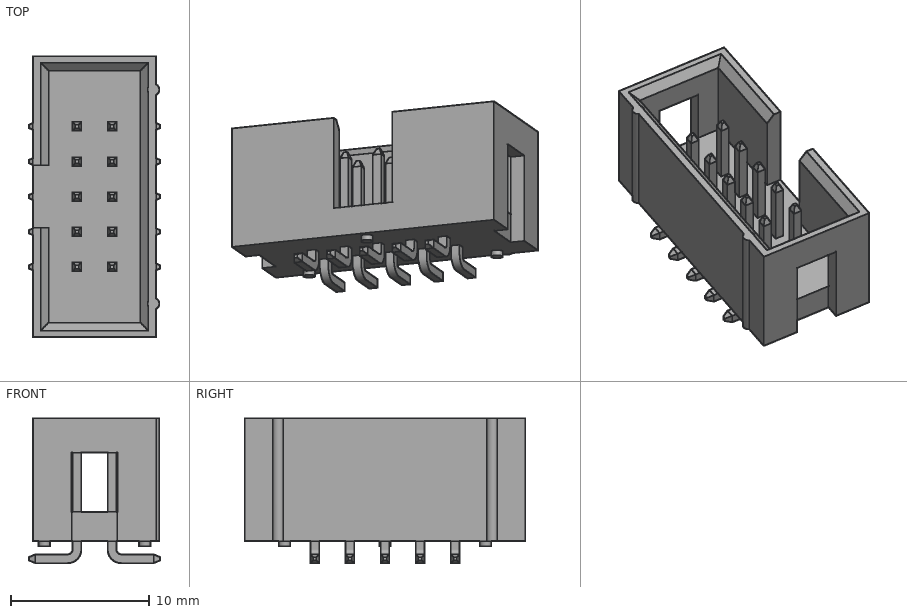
import cadquery as cq
import math

body_x = 8.9
body_y = 20.32
body_z = 8.9
side_wall = 1.14
end_wall = 1.05
floor_z = 2.11
rim_chamfer_run = 0.59
rim_chamfer_depth = 0.63

key_slot_width = 4.53
window_width = 3.3
window_top_z = 6.4

pitch = 2.55
rows = 5
pin_width = 0.65
pin_top_z = 7.15
foot_bottom_z = -1.6
foot_end_x = 4.75
tip_length = 0.49
tip_width = 0.25
bend_inner_radius = 0.35

round_diameter = 0.85
peg_height = 0.39
peg_x = 3.64
peg_y = 7.27
rib_y = 7.75
rib_projection = 0.25


def box_from(z_bottom, z_top, size_x, size_y, x=0, y=0):
    """Box centred on (x, y) between two heights."""
    return cq.Workplane("XY", origin=(x, y, z_bottom)).rect(size_x, size_y).extrude(z_top - z_bottom)


def make_housing():
    cavity_x = body_x - 2 * side_wall
    cavity_y = body_y - 2 * end_wall
    housing = box_from(0, body_z, body_x, body_y)
    housing = housing.cut(box_from(floor_z, body_z, cavity_x, cavity_y))

    lead_in = (
        cq.Workplane("XY", origin=(0, 0, body_z - rim_chamfer_depth))
        .rect(cavity_x, cavity_y)
        .workplane(offset=rim_chamfer_depth)
        .rect(cavity_x + 2 * rim_chamfer_run, cavity_y + 2 * rim_chamfer_run)
        .loft(ruled=True)
    )
    housing = housing.cut(lead_in)

    slot_x = -(body_x - side_wall) / 2
    housing = housing.cut(box_from(floor_z, body_z, side_wall, key_slot_width, x=slot_x))

    for side in (-1, 1):
        window_y = side * (body_y - end_wall) / 2
        housing = housing.cut(box_from(0, window_top_z, window_width, end_wall, y=window_y))
    return housing


def make_tip(base, axis):
    """Square frustum that narrows from the pin section along the axis."""
    taper = math.degrees(math.atan((pin_width - tip_width) / 2 / tip_length))
    plane = cq.Plane(origin=base, xDir=(0, 1, 0), normal=axis)
    return cq.Workplane(plane).rect(pin_width, pin_width).extrude(tip_length, taper=taper)


def make_pin():
    """Pin of the +X column at Y = 0: upright shank, bend and outward foot."""
    pin_x = pitch / 2
    foot_z = foot_bottom_z + pin_width / 2
    shank_top_z = pin_top_z - tip_length
    foot_straight_x = foot_end_x - tip_length
    bend_radius = bend_inner_radius + pin_width / 2

    path = (
        cq.Workplane("XZ")
        .moveTo(pin_x, shank_top_z)
        .lineTo(pin_x, foot_z + bend_radius)
        .radiusArc((pin_x + bend_radius, foot_z), -bend_radius)
        .lineTo(foot_straight_x, foot_z)
    )
    pin = cq.Workplane("XY", origin=(pin_x, 0, shank_top_z)).rect(pin_width, pin_width).sweep(path)
    pin = pin.union(make_tip((pin_x, 0, shank_top_z), (0, 0, 1)))
    return pin.union(make_tip((foot_straight_x, 0, foot_z), (1, 0, 0)))


def make_pegs():
    """One peg on the -X side and two on the +X side."""
    places = [(-peg_x, 0), (peg_x, -peg_y), (peg_x, peg_y)]
    return cq.Workplane("XY").pushPoints(places).circle(round_diameter / 2).extrude(-peg_height)


def make_ribs():
    """Full-height round ribs partly sunk into the +X wall."""
    rib_x = body_x / 2 + rib_projection - round_diameter / 2
    places = [(rib_x, -rib_y), (rib_x, rib_y)]
    return cq.Workplane("XY").pushPoints(places).circle(round_diameter / 2).extrude(body_z)


result = make_housing().union(make_pegs()).union(make_ribs())

right_pin = make_pin()
left_pin = right_pin.mirror("YZ")
for row in range(rows):
    row_y = (row - (rows - 1) / 2) * pitch
    for pin in (left_pin, right_pin):
        result = result.union(pin.translate((0, row_y, 0)))